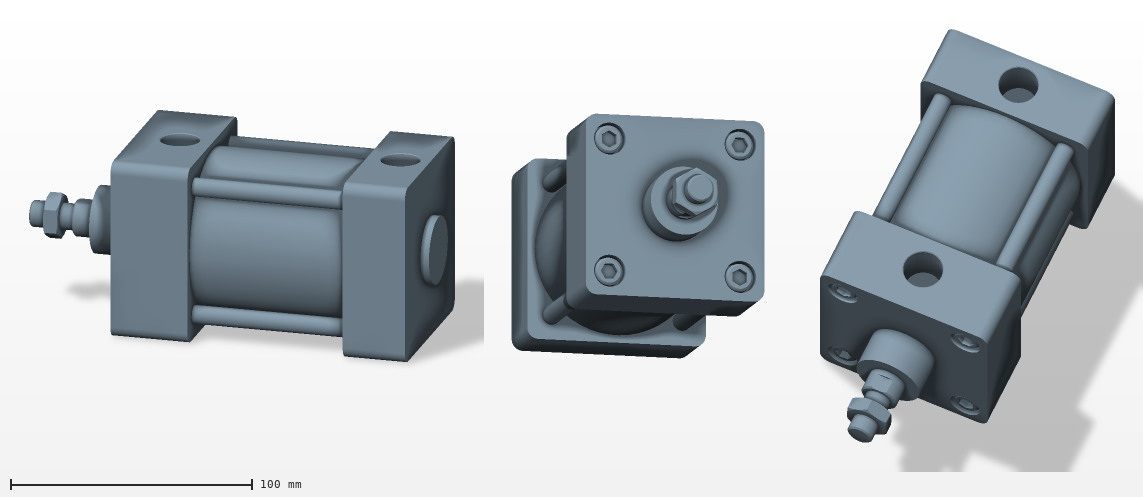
import cadquery as cq
import math


overall_length = 174.6
nut_start = 7.0
nut_thickness = 6.3
rod_shoulder = 19.0
wrench_flat_end = 25.8
front_boss_length = 15.9
front_cap_start = 44.4
front_cap_length = 33.2
rear_cap_length = 26.7
rear_boss_length = 3.7
front_boss_start = front_cap_start - front_boss_length
front_cap_end = front_cap_start + front_cap_length
rear_cap_end = overall_length - rear_boss_length
rear_cap_start = rear_cap_end - rear_cap_length

cap_size = 76.1
cap_corner_radius = 4.7
boss_diameter = 28.6
port_mouth_diameter = 17.1
port_top_diameter = 16.5
port_bottom_diameter = 15.4
port_depth = 17.5
front_port_x = 63.5
rear_port_x = 158.4

barrel_diameter = 69.8
bore_diameter = 63.5

rod_diameter = 15.9
thread_diameter = 11.2
rod_chamfer = 0.7
wrench_flat_width = 14.3
nut_width = 17.5
nut_chamfer_angle = 30.0

tie_rod_circle_diameter = 78.8
tie_rod_offset = tie_rod_circle_diameter / 2 * math.sqrt(0.5)
tie_rod_diameter = 7.9
tie_rod_engagement = 17.5
head_diameter = 11.7
head_chamfer = 0.96
head_length = 7.9
head_recess = 0.9
counterbore_diameter = 13.5
socket_width = 6.3
socket_depth = 3.5
counterbore_depth = head_recess + head_length
tie_rod_end = rear_cap_start + tie_rod_engagement


def cylinder_x(diameter, start, end, y=0.0, z=0.0):
    """Cylinder parallel to X between two stations."""
    return cq.Workplane("YZ", origin=(start, y, z)).circle(diameter / 2).extrude(end - start)


def hexagon_x(width, start, end):
    """Hexagonal prism on the X axis, with corners pointing up and down."""
    corner_diameter = width / math.cos(math.pi / 6)
    prism = cq.Workplane("YZ", origin=(start, 0, 0)).polygon(6, corner_diameter).extrude(end - start)
    return prism.rotate((0, 0, 0), (1, 0, 0), 90)


def at_each_corner(shape):
    """Four copies of a shape at the +Y +Z corner, turned about the X axis."""
    return [shape.rotate((0, 0, 0), (1, 0, 0), 90 * turn) for turn in range(4)]


def make_cap_block(start, end):
    """Square block with rounded long edges."""
    block = cq.Workplane("YZ", origin=(start, 0, 0)).rect(cap_size, cap_size).extrude(end - start)
    return block.edges("|X").fillet(cap_corner_radius)


def port_cutter(x):
    """Blind port going down from the top face, tapered like a pipe thread, with a chamfered mouth."""
    top = cap_size / 2
    mouth_chamfer = (port_mouth_diameter - port_top_diameter) / 2
    profile = [
        (0, top),
        (port_mouth_diameter / 2, top),
        (port_top_diameter / 2, top - mouth_chamfer),
        (port_bottom_diameter / 2, top - port_depth),
        (0, top - port_depth),
    ]
    cutter = cq.Workplane("XZ").polyline(profile).close().revolve(360, (0, 0, 0), (0, 1, 0))
    return cutter.translate((x, 0, 0))


def make_front_cap():
    """Front cap with rod boss, rod bore, port and counterbored tie-rod holes."""
    cap = make_cap_block(front_cap_start, front_cap_end)
    cap = cap.union(cylinder_x(boss_diameter, front_boss_start, front_cap_start))
    cap = cap.cut(cylinder_x(rod_diameter, front_boss_start, front_cap_end))
    cap = cap.cut(port_cutter(front_port_x))
    counterbore_end = front_cap_start + counterbore_depth
    counterbore = cylinder_x(
        counterbore_diameter, front_cap_start, counterbore_end, tie_rod_offset, tie_rod_offset
    )
    clearance = cylinder_x(
        tie_rod_diameter, front_cap_start, front_cap_end, tie_rod_offset, tie_rod_offset
    )
    for hole in at_each_corner(counterbore.union(clearance)):
        cap = cap.cut(hole)
    return cap


def make_rear_cap():
    """Rear cap with locating boss, port and blind tie-rod holes."""
    cap = make_cap_block(rear_cap_start, rear_cap_end)
    cap = cap.union(cylinder_x(boss_diameter, rear_cap_end, overall_length))
    cap = cap.cut(port_cutter(rear_port_x))
    tie_rod_hole = cylinder_x(
        tie_rod_diameter, rear_cap_start, tie_rod_end, tie_rod_offset, tie_rod_offset
    )
    for hole in at_each_corner(tie_rod_hole):
        cap = cap.cut(hole)
    return cap


def make_barrel():
    """Plain tube clamped between the caps."""
    barrel = cylinder_x(barrel_diameter, front_cap_end, rear_cap_start)
    return barrel.cut(cylinder_x(bore_diameter, front_cap_end, rear_cap_start))


def make_piston_rod():
    """Rod with a reduced threaded end and two wrench flats behind the shoulder."""
    body = cylinder_x(rod_diameter, rod_shoulder, front_cap_end).faces("<X").chamfer(rod_chamfer)
    flat_length = wrench_flat_end - rod_shoulder
    outside_flats = (
        cq.Workplane("XY")
        .box(flat_length, rod_diameter, 2 * rod_diameter, centered=(False, True, True))
        .cut(
            cq.Workplane("XY").box(
                flat_length, rod_diameter, wrench_flat_width, centered=(False, True, True)
            )
        )
        .translate((rod_shoulder, 0, 0))
    )
    threaded_end = cylinder_x(thread_diameter, 0, rod_shoulder).faces("<X").chamfer(rod_chamfer)
    return body.cut(outside_flats).union(threaded_end)


def make_jam_nut():
    """Hexagon nut with its corners chamfered on both faces."""
    nut_end = nut_start + nut_thickness
    corner_radius = nut_width / 2 / math.cos(math.pi / 6)
    chamfer_length = (corner_radius - nut_width / 2) * math.tan(math.radians(nut_chamfer_angle))
    profile = [
        (nut_start, 0),
        (nut_start, nut_width / 2),
        (nut_start + chamfer_length, corner_radius),
        (nut_end - chamfer_length, corner_radius),
        (nut_end, nut_width / 2),
        (nut_end, 0),
    ]
    envelope = cq.Workplane("XY").polyline(profile).close().revolve(360, (0, 0, 0), (1, 0, 0))
    nut = hexagon_x(nut_width, nut_start, nut_end).intersect(envelope)
    return nut.cut(cylinder_x(thread_diameter, nut_start, nut_end))


def make_tie_rod():
    """Tie rod at the +Y +Z corner, with a chamfered socket head sunk in the front cap."""
    head_start = front_cap_start + head_recess
    head_end = front_cap_start + counterbore_depth
    head = cylinder_x(head_diameter, head_start, head_end).faces("<X").chamfer(head_chamfer)
    shank = cylinder_x(tie_rod_diameter, head_end, tie_rod_end)
    socket = hexagon_x(socket_width, head_start, head_start + socket_depth)
    return head.union(shank).cut(socket).translate((0, tie_rod_offset, tie_rod_offset))


front_cap = make_front_cap()
rear_cap = make_rear_cap()
barrel = make_barrel()
piston_rod = make_piston_rod()
jam_nut = make_jam_nut()
tie_rods = at_each_corner(make_tie_rod())

result = cq.Compound.makeCompound(
    [
        front_cap.val(),
        rear_cap.val(),
        barrel.val(),
        piston_rod.val(),
        jam_nut.val(),
        *[tie_rod.val() for tie_rod in tie_rods],
    ]
)